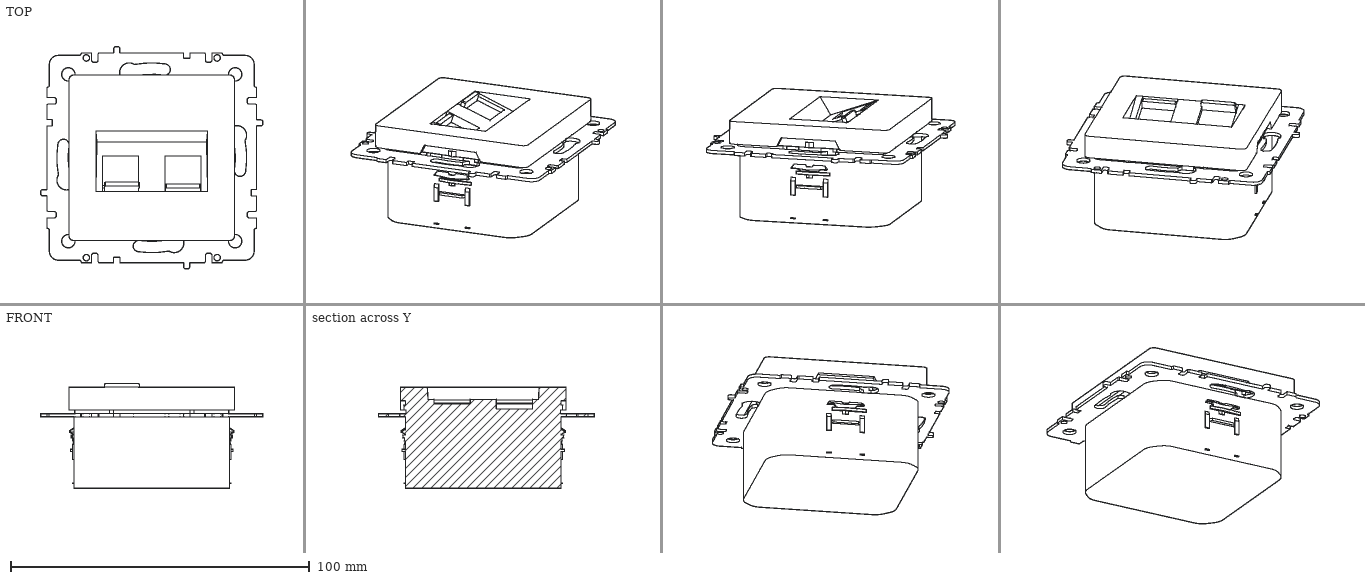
import cadquery as cq
import math

PLATE_BOTTOM = 23.9
PLATE_TOP = 25.0
COVER_BOTTOM = 26.1
COVER_TOP = 33.85
LIP_TOP = 35.1

BOX_HALF = 26.05
BOX_ARC_START = 19.05
BOX_FLAT_NEAR = 22.85
BOX_FLAT_FAR = 24.5

PLATE_HALF = 34.3
PLATE_CORNER_RADIUS = 3.1
EDGE_STRIP_HALF = 35.1
EDGE_STRIP_LENGTH = 47.0
EDGE_STRIP_SLANT = 0.4
TAB_REACH = 37.2
TAB_WIDTH = 2.1
TAB_OFFSET = 11.7
TAB_CORNER_RADIUS = 0.75
SHALLOW_NOTCH_FLOOR = 33.3
DEEP_NOTCH_FLOOR = 32.0
DEEP_NOTCH_OFFSET = 19.05
DEEP_NOTCH_CORNER_RADIUS = 0.6
DEEP_NOTCH_MOUTH_SIZE = 0.4
CORNER_HOLE_OFFSET = 27.9
CORNER_HOLE_DIAMETER = 4.4
SMALL_HOLE_ALONG = 21.9
SMALL_HOLE_ACROSS = 33.4
SMALL_HOLE_DIAMETER = 2.1

SLOT_INNER_RADIUS = 28.0
SLOT_OUTER_RADIUS = 31.7
SLOT_NARROW_END = 4.3
KEYHOLE_X = -7.5
KEYHOLE_Y = 28.5
KEYHOLE_RADIUS = 3.2

COVER_HALF = 27.75
COVER_CORNER_RADIUS = 1.8
NECK_HALF_X = 25.6
NECK_HALF_Y = 26.0
NECK_CORNER_RADIUS = 3.0
NOTCH_BOTTOM_HALF = 11.0
NOTCH_TOP_HALF = 9.45
NOTCH_TOP = 29.25
NOTCH_BACK = 26.05
CLIP_RIDGE = 26.6
CLIP_BASE_FACE = 25.9
CLIP_HALF_WIDTH = 1.4
CLIP_TOP = 27.9
CLIP_BASE_HALF_WIDTH = 3.9
SPACER_WIDTH = 1.35
SPACER_REACH = 0.2
SPACER_OFFSET_SIDE = 8.7
SPACER_OFFSET_FRONT = 13.55

WINDOW_HALF = 18.7
WINDOW_SIDE_DRAFT = 0.4
WINDOW_NEAR_Y = -11.2
WINDOW_FAR_Y = 9.0
WINDOW_DEEPEST_Y = 5.2
WINDOW_DEPTH = 5.95

PORT_WIDTH = 12.05
PORT_CENTRE = 10.4
PORT_FAR_Y = 0.5
PORT_LID = 0.9
PORT_LID_SLANT = 0.6
PORT_UNDERCUT = 1.85
PORT_FRONT_DEPTH = 4.1
LIP_WIDTH = 11.75
LIP_END_CHAMFER = 0.4
LIP_THICKNESS = 1.4
LIP_FRONT_FROM_EDGE = 1.2
LEFT_SHUTTER_DEPTH = 1.5
LEFT_LIP_SHIFT = 0.45
RIGHT_SHUTTER_DEPTH = 3.0
RIGHT_LIP_HEIGHT = 0.1

BOW_TIP = 27.45
BOW_TOP = 20.15
BOW_BOTTOM = 18.0
BOW_RIDGE_HEIGHT = 19.3
BOW_END_HEIGHT = 18.9
BOW_RIDGE_DROP = 0.6
BOW_HALF_WIDTH = 6.25
BOW_TOP_HALF = 5.35
BOW_DIP_DEPTH = 0.6
BOW_DIP_HALF = 0.9
BOW_DIP_MOUTH_HALF = 1.35
BOW_WING_START = 4.1
BOW_BELLY_HALF = 3.0
BAR_SHOULDER = 26.5
BAR_RIDGE = 26.9
BAR_START = -4.55
BAR_END = 7.1
BAR_TOP = 17.85
BAR_BOTTOM = 16.9
PEG_RIDGE = 26.5
PEG_SHOULDER = 26.3
PEG_HALF_WIDTH = 1.05
PEG_BOTTOM = 15.8
RAIL_FACE = 26.55
RAIL_OFFSET = 5.65
RAIL_WIDTH = 1.55
RAIL_BOTTOM = 9.6
RAIL_TOP = 15.6
RAIL_SLANT = 1.2
CROSSBAR_FACE = 27.2
CROSSBAR_FACE_HALF = 4.2
CROSSBAR_BOTTOM = 12.3
CROSSBAR_TOP = 13.1
FOOT_BOTTOM = 1.55
FOOT_TOP = 1.8

EMBED = 0.75


def block(x0, x1, y0, y1, z0, z1):
    return cq.Workplane("XY").box(x1 - x0, y1 - y0, z1 - z0, centered=False).translate((x0, y0, z0))


def ridged_bar(inner, shoulder, ridge, y0, y1, z0, z1):
    """Bar along Y on the +X side whose outer face bends outward to a ridge at Y = 0."""
    return (
        cq.Workplane("XY").workplane(offset=z0)
        .polyline([(inner, y0), (shoulder, y0), (ridge, 0), (shoulder, y1), (inner, y1)])
        .close()
        .extrude(z1 - z0)
    )


def plate_prism(sketch):
    return sketch.extrude(PLATE_TOP - PLATE_BOTTOM)


def on_plate():
    return cq.Workplane("XY").workplane(offset=PLATE_BOTTOM)


def on_four_sides(body):
    turned = body
    for angle in (90, 180, 270):
        turned = turned.union(body.rotate((0, 0, 0), (0, 0, 1), angle))
    return turned


def on_both_x_sides(body):
    return body.union(body.rotate((0, 0, 0), (0, 0, 1), 180))


def rear_box():
    run = BOX_FLAT_NEAR - BOX_ARC_START
    drop = BOX_HALF - BOX_FLAT_FAR
    radius = (run**2 + drop**2) / (2 * drop)
    half_angle = math.asin(run / radius) / 2
    near = BOX_ARC_START + radius * math.sin(half_angle)
    far = BOX_HALF - radius * (1 - math.cos(half_angle))
    quarter = (
        cq.Workplane("XY")
        .lineTo(0, BOX_HALF)
        .lineTo(BOX_ARC_START, BOX_HALF)
        .threePointArc((near, far), (BOX_FLAT_NEAR, BOX_FLAT_FAR))
        .lineTo(BOX_FLAT_FAR, BOX_FLAT_NEAR)
        .threePointArc((far, near), (BOX_HALF, BOX_ARC_START))
        .lineTo(BOX_HALF, 0)
        .close()
        .extrude(PLATE_BOTTOM)
    )
    return on_four_sides(quarter)


def edge_strip():
    half = EDGE_STRIP_LENGTH / 2
    base_half = half + EDGE_STRIP_SLANT
    strip = plate_prism(
        on_plate().polyline([
            (-base_half, 0), (-base_half, PLATE_HALF), (-half, EDGE_STRIP_HALF),
            (half, EDGE_STRIP_HALF), (base_half, PLATE_HALF), (base_half, 0),
        ]).close()
    )
    tab = plate_prism(on_plate().center(-TAB_OFFSET, TAB_REACH / 2).rect(TAB_WIDTH, TAB_REACH))
    tab = tab.edges("|Z and >Y").fillet(TAB_CORNER_RADIUS)
    return strip.union(tab)


def edge_notch(x, floor):
    length = TAB_REACH - floor
    return plate_prism(on_plate().center(x, floor + length / 2).rect(TAB_WIDTH, length))


def deep_notch(side):
    """Round-cornered notch whose mouth is eased on the side toward the middle of the edge."""
    notch = edge_notch(side * DEEP_NOTCH_OFFSET, DEEP_NOTCH_FLOOR)
    notch = notch.edges("|Z and <Y").fillet(DEEP_NOTCH_CORNER_RADIUS)
    inner_wall = DEEP_NOTCH_OFFSET - TAB_WIDTH / 2
    eased_mouth = plate_prism(
        on_plate().polyline([
            (side * inner_wall, EDGE_STRIP_HALF - DEEP_NOTCH_MOUTH_SIZE),
            (side * inner_wall, EDGE_STRIP_HALF),
            (side * (inner_wall - DEEP_NOTCH_MOUTH_SIZE), EDGE_STRIP_HALF),
        ]).close()
    )
    return notch.union(eased_mouth)


def keyhole_slot():
    middle = (SLOT_INNER_RADIUS + SLOT_OUTER_RADIUS) / 2
    end_radius = (SLOT_OUTER_RADIUS - SLOT_INNER_RADIUS) / 2
    end_angle = math.asin(SLOT_NARROW_END / middle)
    start_angle = math.atan2(KEYHOLE_X, KEYHOLE_Y)

    def polar(radius, angle):
        return (radius * math.sin(angle), radius * math.cos(angle))

    end_x, end_y = polar(middle, end_angle)
    end_mid = (end_x + end_radius * math.cos(end_angle), end_y - end_radius * math.sin(end_angle))
    arc = plate_prism(
        on_plate()
        .moveTo(*polar(SLOT_INNER_RADIUS, start_angle))
        .lineTo(*polar(SLOT_OUTER_RADIUS, start_angle))
        .threePointArc((0, SLOT_OUTER_RADIUS), polar(SLOT_OUTER_RADIUS, end_angle))
        .threePointArc(end_mid, polar(SLOT_INNER_RADIUS, end_angle))
        .threePointArc((0, SLOT_INNER_RADIUS), polar(SLOT_INNER_RADIUS, start_angle))
        .close()
    )
    return arc.union(plate_prism(on_plate().center(KEYHOLE_X, KEYHOLE_Y).circle(KEYHOLE_RADIUS)))


def mounting_plate():
    plate = plate_prism(on_plate().rect(2 * PLATE_HALF, 2 * PLATE_HALF))
    plate = plate.edges("|Z").fillet(PLATE_CORNER_RADIUS)
    plate = plate.union(on_four_sides(edge_strip()))
    small_holes = plate_prism(
        on_plate()
        .pushPoints([(side * SMALL_HOLE_ALONG, SMALL_HOLE_ACROSS) for side in (-1, 1)])
        .circle(SMALL_HOLE_DIAMETER / 2)
    )
    corner_hole = plate_prism(
        on_plate().center(CORNER_HOLE_OFFSET, CORNER_HOLE_OFFSET).circle(CORNER_HOLE_DIAMETER / 2)
    )
    openings = edge_notch(TAB_OFFSET, SHALLOW_NOTCH_FLOOR).union(corner_hole).union(keyhole_slot())
    for side in (-1, 1):
        openings = openings.union(deep_notch(side))
    rear_holes = small_holes.rotate((0, 0, 0), (0, 0, 1), 180)
    return plate.cut(on_four_sides(openings)).cut(small_holes).cut(rear_holes)


def cover_with_neck():
    cover = block(-COVER_HALF, COVER_HALF, -COVER_HALF, COVER_HALF, COVER_BOTTOM, COVER_TOP)
    cover = cover.edges("|Z").fillet(COVER_CORNER_RADIUS)
    notch_profile = [
        (-NOTCH_BOTTOM_HALF, COVER_BOTTOM), (-NOTCH_TOP_HALF, NOTCH_TOP),
        (NOTCH_TOP_HALF, NOTCH_TOP), (NOTCH_BOTTOM_HALF, COVER_BOTTOM),
    ]
    notch = (
        cq.Workplane("YZ").workplane(offset=NOTCH_BACK)
        .polyline(notch_profile).close()
        .extrude(COVER_HALF - NOTCH_BACK)
    )
    neck = block(-NECK_HALF_X, NECK_HALF_X, -NECK_HALF_Y, NECK_HALF_Y, PLATE_BOTTOM, COVER_BOTTOM)
    neck = neck.edges("|Z").fillet(NECK_CORNER_RADIUS)
    return cover.cut(on_both_x_sides(notch)).union(neck)


def cover_clips():
    inner = NECK_HALF_X - EMBED
    hook = ridged_bar(
        inner, NOTCH_BACK, CLIP_RIDGE, -CLIP_HALF_WIDTH, CLIP_HALF_WIDTH, COVER_BOTTOM, CLIP_TOP
    )
    base = block(
        inner, CLIP_BASE_FACE, -CLIP_BASE_HALF_WIDTH, CLIP_BASE_HALF_WIDTH, PLATE_TOP, COVER_BOTTOM
    )
    return on_both_x_sides(hook.union(base))


def spacers():
    height = COVER_BOTTOM - PLATE_TOP
    depth = EMBED + SPACER_REACH
    offset = depth / 2 - EMBED
    level = cq.Workplane("XY").workplane(offset=PLATE_TOP)
    side_places = [
        (sx * (NECK_HALF_X + offset), sy * SPACER_OFFSET_SIDE) for sx in (-1, 1) for sy in (-1, 1)
    ]
    front_places = [
        (sx * SPACER_OFFSET_FRONT, sy * (NECK_HALF_Y + offset)) for sx in (-1, 1) for sy in (-1, 1)
    ]
    on_sides = level.pushPoints(side_places).rect(depth, SPACER_WIDTH).extrude(height)
    on_front = level.pushPoints(front_places).rect(SPACER_WIDTH, depth).extrude(height)
    return on_sides.union(on_front)


def window():
    side_profile = [
        (WINDOW_NEAR_Y, COVER_TOP),
        (WINDOW_FAR_Y, COVER_TOP),
        (WINDOW_DEEPEST_Y, COVER_TOP - WINDOW_DEPTH),
    ]
    wedge = cq.Workplane("YZ").polyline(side_profile).close().extrude(WINDOW_HALF, both=True)
    bottom_half = WINDOW_HALF - WINDOW_SIDE_DRAFT
    cross_profile = [
        (-WINDOW_HALF, COVER_TOP), (WINDOW_HALF, COVER_TOP),
        (bottom_half, COVER_TOP - WINDOW_DEPTH), (-bottom_half, COVER_TOP - WINDOW_DEPTH),
    ]
    drafted = (
        cq.Workplane("XZ", origin=(0, WINDOW_FAR_Y, 0))
        .polyline(cross_profile).close()
        .extrude(WINDOW_FAR_Y - WINDOW_NEAR_Y)
    )
    return wedge.intersect(drafted)


FLOOR_ANGLE = math.atan2(WINDOW_DEPTH, WINDOW_DEEPEST_Y - WINDOW_NEAR_Y)
PORT_LENGTH = (PORT_FAR_Y - WINDOW_NEAR_Y) / math.cos(FLOOR_ANGLE)


def floor_prism(points, x_centre, width):
    """Extrude (distance down the floor, height off the floor) points across the window."""
    plane = cq.Plane(
        origin=(x_centre, WINDOW_NEAR_Y, COVER_TOP),
        xDir=(0, math.cos(FLOOR_ANGLE), -math.sin(FLOOR_ANGLE)),
        normal=(1, 0, 0),
    )
    return cq.Workplane(plane).polyline(points).close().extrude(width / 2, both=True)


LEFT_LIP_HEIGHT = (
    LIP_TOP - COVER_TOP + LIP_FRONT_FROM_EDGE * math.sin(FLOOR_ANGLE)
) / math.cos(FLOOR_ANGLE)


def port_opening(x_centre, shutter_depth):
    lip_back = LIP_FRONT_FROM_EDGE + LIP_THICKNESS
    return floor_prism(
        [
            (0, 0), (PORT_LENGTH, 0), (PORT_LENGTH + PORT_LID_SLANT, -PORT_LID),
            (PORT_LENGTH + PORT_UNDERCUT, -PORT_LID), (PORT_LENGTH + PORT_UNDERCUT, -shutter_depth),
            (lip_back, -shutter_depth), (lip_back, -PORT_FRONT_DEPTH), (0, -PORT_FRONT_DEPTH),
        ],
        x_centre,
        PORT_WIDTH,
    )


def shutter_lip(x_centre, top):
    lip_back = LIP_FRONT_FROM_EDGE + LIP_THICKNESS
    bottom = -PORT_FRONT_DEPTH - EMBED
    lip = floor_prism(
        [(LIP_FRONT_FROM_EDGE, bottom), (LIP_FRONT_FROM_EDGE, top), (lip_back, top), (lip_back, bottom)],
        x_centre,
        LIP_WIDTH,
    )
    floor_normal = cq.Vector(0, math.sin(FLOOR_ANGLE), math.cos(FLOOR_ANGLE))
    top_face = lip.faces(cq.selectors.DirectionMinMaxSelector(floor_normal))
    return top_face.edges("<X or >X").chamfer(LIP_END_CHAMFER)


LATCH_INNER = BOX_HALF - EMBED


def bow():
    """Winged catch: a sharp ridge that falls from both ends toward the middle."""
    dip = BOW_TOP - BOW_DIP_DEPTH
    half_outline = [
        (0, dip), (BOW_DIP_HALF, dip), (BOW_DIP_MOUTH_HALF, BOW_TOP), (BOW_TOP_HALF, BOW_TOP),
        (BOW_HALF_WIDTH, BOW_END_HEIGHT), (BOW_WING_START, BOW_END_HEIGHT),
        (BOW_BELLY_HALF, BOW_BOTTOM), (0, BOW_BOTTOM),
    ]
    outline = cq.Workplane("YZ").workplane(offset=LATCH_INNER).polyline(half_outline).close()
    half_bow = outline.extrude(BOW_TIP - LATCH_INNER)

    def ridge_section(y, ridge_height):
        corners = [
            (LATCH_INNER, BOW_TOP), (BOX_HALF, BOW_TOP), (BOW_TIP, ridge_height),
            (BOX_HALF, BOW_BOTTOM), (LATCH_INNER, BOW_BOTTOM),
        ]
        return cq.Wire.makePolygon([cq.Vector(x, y, z) for x, z in corners], close=True)

    ridge = cq.Solid.makeLoft(
        [
            ridge_section(0, BOW_RIDGE_HEIGHT - BOW_RIDGE_DROP),
            ridge_section(BOW_HALF_WIDTH, BOW_RIDGE_HEIGHT),
        ],
        True,
    )
    half_bow = half_bow.intersect(cq.Workplane(ridge))
    return half_bow.union(half_bow.mirror("XZ"))


def crossbar():
    return (
        cq.Workplane("XY").workplane(offset=CROSSBAR_BOTTOM)
        .polyline([
            (LATCH_INNER, -RAIL_OFFSET), (BOX_HALF, RAIL_WIDTH / 2 - RAIL_OFFSET),
            (CROSSBAR_FACE, -CROSSBAR_FACE_HALF), (CROSSBAR_FACE, CROSSBAR_FACE_HALF),
            (BOX_HALF, RAIL_OFFSET - RAIL_WIDTH / 2), (LATCH_INNER, RAIL_OFFSET),
        ])
        .close()
        .extrude(CROSSBAR_TOP - CROSSBAR_BOTTOM)
    )


def rail_with_foot(y_centre):
    rail = (
        cq.Workplane("XZ", origin=(0, y_centre, 0))
        .polyline([
            (LATCH_INNER, RAIL_BOTTOM), (RAIL_FACE, RAIL_BOTTOM), (RAIL_FACE, RAIL_TOP - RAIL_SLANT),
            (BOX_HALF, RAIL_TOP), (LATCH_INNER, RAIL_TOP),
        ])
        .close()
        .extrude(RAIL_WIDTH / 2, both=True)
    )
    y0 = y_centre - RAIL_WIDTH / 2
    return rail.union(block(LATCH_INNER, RAIL_FACE, y0, y0 + RAIL_WIDTH, FOOT_BOTTOM, FOOT_TOP))


def side_latch():
    bar = ridged_bar(LATCH_INNER, BAR_SHOULDER, BAR_RIDGE, BAR_START, BAR_END, BAR_BOTTOM, BAR_TOP)
    peg = ridged_bar(
        LATCH_INNER, PEG_SHOULDER, PEG_RIDGE, -PEG_HALF_WIDTH, PEG_HALF_WIDTH, PEG_BOTTOM, BAR_BOTTOM
    )
    latch = bow().union(bar).union(peg).union(crossbar())
    for side in (-1, 1):
        latch = latch.union(rail_with_foot(side * RAIL_OFFSET))
    return latch


result = rear_box().union(mounting_plate()).union(cover_with_neck())
result = result.union(cover_clips()).union(spacers()).union(on_both_x_sides(side_latch()))
result = result.cut(window())
for port_x, lip_shift, depth, lip_height in (
    (-PORT_CENTRE, LEFT_LIP_SHIFT, LEFT_SHUTTER_DEPTH, LEFT_LIP_HEIGHT),
    (PORT_CENTRE, 0, RIGHT_SHUTTER_DEPTH, RIGHT_LIP_HEIGHT),
):
    result = result.cut(port_opening(port_x, depth))
    result = result.union(shutter_lip(port_x + lip_shift, lip_height))